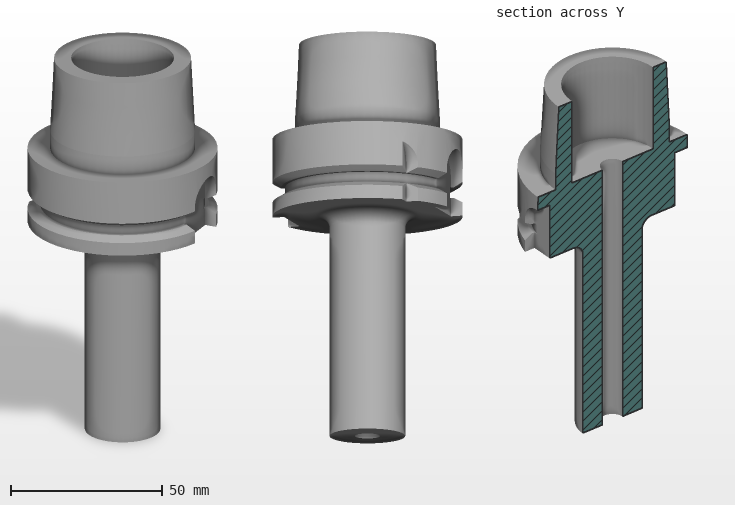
import cadquery as cq

TOTAL_HEIGHT = 132
FLANGE_BOTTOM = 74.0
FLANGE_TOP = 100.0
COLLAR_TOP = 106.4
GROOVE_CENTER = 82.0

SHANK_RADIUS = 12.5
SHANK_FILLET = 4
FLANGE_RADIUS = 63.0 / 2
COLLAR_RADIUS = 24.0
TAPER_TOP_RADIUS = 22.7
BORE_RADIUS = 17.0
THROUGH_HOLE_RADIUS = 4.2
BORE_DEPTH = TOTAL_HEIGHT - FLANGE_TOP

GROOVE_RADIUS = 27.3
GROOVE_SHELF_RADIUS = 28.6
GROOVE_FLOOR_WIDTH = 3.5
GROOVE_MOUTH_WIDTH = 6.9

SLOT_WIDTH = 16.4
SLOT_TOP = FLANGE_TOP - 5.3
DRIVE_SLOT_FLOOR = 26.4
INDEX_SLOT_FLOOR = 20.2
INDEX_SLOT_NEAR_WALL = 20.0


def turned_body():
    """Shank, grooved flange, collar and taper revolved about Z."""
    half_floor = GROOVE_FLOOR_WIDTH / 2
    half_mouth = GROOVE_MOUTH_WIDTH / 2
    fillet_edge = SHANK_RADIUS + SHANK_FILLET
    fillet_start = FLANGE_BOTTOM - SHANK_FILLET
    fillet_mid_offset = SHANK_FILLET * (1 - 0.5 ** 0.5)
    return (
        cq.Workplane("XZ")
        .lineTo(SHANK_RADIUS, 0)
        .lineTo(SHANK_RADIUS, fillet_start)
        .threePointArc(
            (SHANK_RADIUS + fillet_mid_offset, FLANGE_BOTTOM - fillet_mid_offset),
            (fillet_edge, FLANGE_BOTTOM),
        )
        .lineTo(FLANGE_RADIUS, FLANGE_BOTTOM)
        .lineTo(FLANGE_RADIUS, GROOVE_CENTER - half_mouth)
        .lineTo(GROOVE_SHELF_RADIUS, GROOVE_CENTER - half_floor)
        .lineTo(GROOVE_RADIUS, GROOVE_CENTER - half_floor)
        .lineTo(GROOVE_RADIUS, GROOVE_CENTER + half_floor)
        .lineTo(GROOVE_SHELF_RADIUS, GROOVE_CENTER + half_floor)
        .lineTo(FLANGE_RADIUS, GROOVE_CENTER + half_mouth)
        .lineTo(FLANGE_RADIUS, FLANGE_TOP)
        .lineTo(COLLAR_RADIUS, FLANGE_TOP)
        .lineTo(COLLAR_RADIUS, COLLAR_TOP)
        .lineTo(TAPER_TOP_RADIUS, TOTAL_HEIGHT)
        .lineTo(0, TOTAL_HEIGHT)
        .close()
        .revolve(360, (0, 0), (0, 1))
    )


def slot_cutter(floor_distance, center_y):
    """Round-topped slot running outward along -X from its flat floor."""
    half_width = SLOT_WIDTH / 2
    arch_start = SLOT_TOP - half_width
    return (
        cq.Workplane("YZ", origin=(-floor_distance, center_y, 0))
        .moveTo(-half_width, FLANGE_BOTTOM)
        .lineTo(-half_width, arch_start)
        .threePointArc((0, SLOT_TOP), (half_width, arch_start))
        .lineTo(half_width, FLANGE_BOTTOM)
        .close()
        .extrude(-FLANGE_RADIUS)
    )


def bore_cutter():
    """Wide blind bore in the taper and the narrow hole along the whole axis."""
    bore_floor = TOTAL_HEIGHT - BORE_DEPTH
    bore = cq.Workplane("XY", origin=(0, 0, bore_floor)).circle(BORE_RADIUS).extrude(BORE_DEPTH)
    through_hole = cq.Workplane("XY").circle(THROUGH_HOLE_RADIUS).extrude(TOTAL_HEIGHT)
    return bore.union(through_hole)


result = turned_body().cut(bore_cutter())

drive_slot = slot_cutter(DRIVE_SLOT_FLOOR, 0)
for angle in (0, 180):
    result = result.cut(drive_slot.rotate((0, 0, 0), (0, 0, 1), angle))

index_slot_center = INDEX_SLOT_NEAR_WALL + SLOT_WIDTH / 2
result = result.cut(slot_cutter(INDEX_SLOT_FLOOR, index_slot_center))